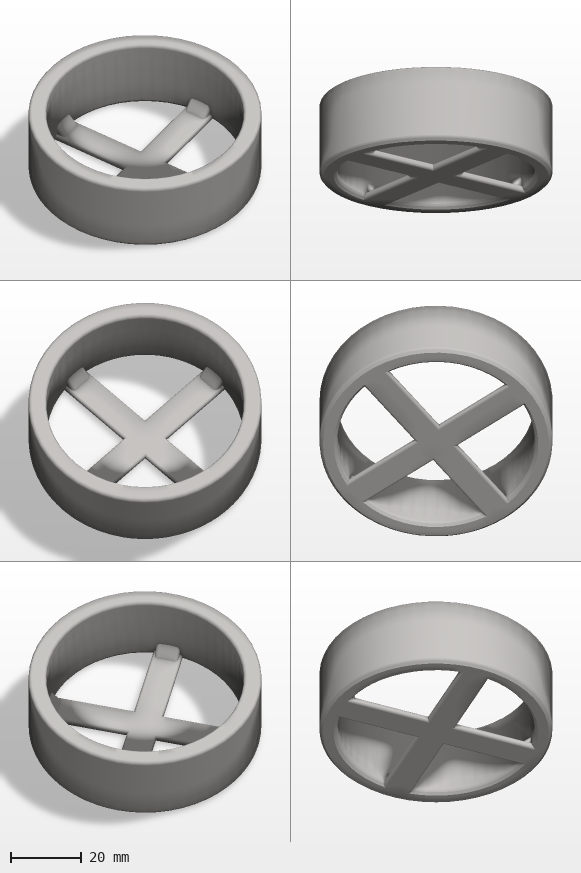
import cadquery as cq

outer_diameter = 66.0
inner_diameter = 56.0
ring_height = 22.0
edge_size = 1.0

spoke_width = 8.45
spoke_height = 2.0
spoke_fillet = 0.8
spoke_count = 4

gusset_width = spoke_width - 2 * spoke_fillet
gusset_length = 3.05
gusset_rise = 3.05
gusset_fillet = 1.0

inner_radius = inner_diameter / 2
embedded_radius = (outer_diameter + inner_diameter) / 4


def make_ring():
    """Ring with rounded upper rims and chamfered lower rims, softened where they meet the walls."""
    ring = cq.Workplane("XY").circle(outer_diameter / 2).circle(inner_radius).extrude(ring_height)
    ring = ring.faces(">Z").edges().fillet(edge_size)
    ring = ring.faces("<Z").edges().chamfer(edge_size)
    chamfer_shoulders = ring.edges(cq.selectors.BoxSelector(
        (-outer_diameter, -outer_diameter, edge_size / 2),
        (outer_diameter, outer_diameter, ring_height / 2),
        boundingbox=True,
    )).edges("%CIRCLE")
    return chamfer_shoulders.fillet(edge_size)


def make_cross():
    """Two crossing bars with rounded long edges."""
    bar = cq.Workplane("XY").rect(2 * embedded_radius, spoke_width).extrude(spoke_height)
    bar = bar.edges("|X").fillet(spoke_fillet)
    return bar.union(bar.rotate((0, 0, 0), (0, 0, 1), 90))


def make_gusset():
    """Wedge on the +X spoke, rising outward, with rounded sides on its slope."""
    start_radius = inner_radius - gusset_length
    slope = gusset_rise / gusset_length
    foot_radius = start_radius - spoke_height / slope
    top = spoke_height + slope * (embedded_radius - start_radius)
    wedge = (
        cq.Workplane("XZ")
        .polyline([(foot_radius, 0), (embedded_radius, 0), (embedded_radius, top)])
        .close()
        .extrude(gusset_width / 2, both=True)
    )
    slope_edges = wedge.edges("not(|X or |Y or |Z)")
    return slope_edges.fillet(gusset_fillet)


result = make_ring().union(make_cross())
gusset = make_gusset()
for index in range(spoke_count):
    result = result.union(gusset.rotate((0, 0, 0), (0, 0, 1), index * 360 / spoke_count))